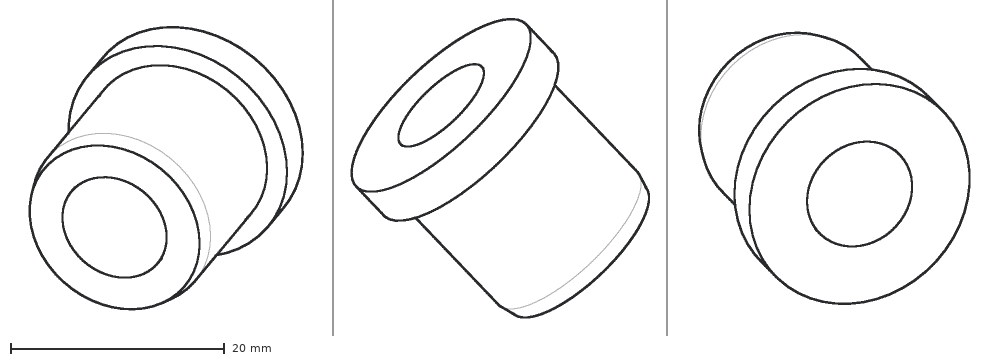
import cadquery as cq

flange_diameter = 22.0
body_diameter = 18.0
bore_diameter = 10.5
total_length = 20.0
flange_thickness = 4.0

taper_length = 1.67
taper_depth = 0.45

flange_radius = flange_diameter / 2
body_radius = body_diameter / 2
bore_radius = bore_diameter / 2
tip_radius = body_radius - taper_depth
flange_face = total_length - flange_thickness

half_section = (
    cq.Workplane("XY")
    .moveTo(bore_radius, 0)
    .lineTo(tip_radius, 0)
    .lineTo(body_radius, taper_length)
    .lineTo(body_radius, flange_face)
    .lineTo(flange_radius, flange_face)
    .lineTo(flange_radius, total_length)
    .lineTo(bore_radius, total_length)
    .close()
)

result = half_section.revolve(360, (0, 0, 0), (0, 1, 0))